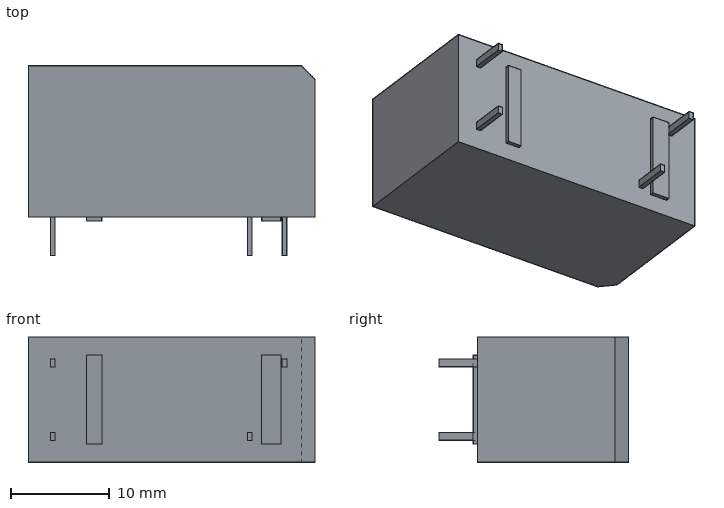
import cadquery as cq

body_length = 29.0
body_depth = 15.3
body_height = 12.7
corner_chamfer = 1.4

pin_width = 0.5
pin_height = 0.8
pin_length = 3.9
pin_row_spacing = 7.42
left_pin_x = 2.46
lower_right_pin_x = 22.4
upper_right_pin_x = 25.9

rib_height = 9.0
rib_thickness = 0.4
left_rib_x = 6.65
left_rib_width = 1.57
right_rib_x = 24.55
right_rib_width = 1.95

mid_z = body_height / 2
lower_row_z = mid_z - pin_row_spacing / 2
upper_row_z = mid_z + pin_row_spacing / 2


def front_block(center_x, center_z, width, height, projection):
    """Rectangular block projecting from the front face toward -Y."""
    return (
        cq.Workplane("XZ")
        .center(center_x, center_z)
        .rect(width, height)
        .extrude(projection)
    )


result = (
    cq.Workplane("XY")
    .box(body_length, body_depth, body_height, centered=False)
    .edges("|Z and >X and >Y")
    .chamfer(corner_chamfer)
)

for rib_x, rib_width in [(left_rib_x, left_rib_width), (right_rib_x, right_rib_width)]:
    result = result.union(front_block(rib_x, mid_z, rib_width, rib_height, rib_thickness))

pin_positions = [
    (left_pin_x, lower_row_z),
    (left_pin_x, upper_row_z),
    (lower_right_pin_x, lower_row_z),
    (upper_right_pin_x, upper_row_z),
]
for pin_x, pin_z in pin_positions:
    result = result.union(front_block(pin_x, pin_z, pin_width, pin_height, pin_length))